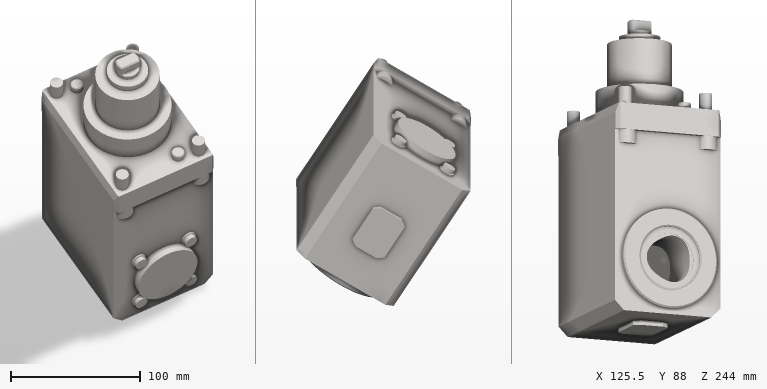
import cadquery as cq
import math

BODY_HALF_X = 56.0
DEPTH = 88.0
BODY_BOTTOM_CHAMFER = 7.5

PLATE_HALF_X = 60.0
PLATE_BOTTOM = 141.8
PLATE_TOP = 162.5
PLATE_CORNER_CHAMFER = 3.2
PLATE_BEVEL_HEIGHT = 7.5
PLATE_BEVEL_WIDTH = 2.2

SPINDLE_STEPS = [(67.8, 184.5), (49.8, 222.0), (32.0, 227.7), (18.5, 231.5)]
TONGUE_WIDTH = 10.0
TONGUE_DIAMETER = SPINDLE_STEPS[-1][0]
TONGUE_TOP = 240.3
TONGUE_ROOT_RADIUS = 1.5
TONGUE_EDGE_CHAMFER = 1.0

SCREW_X = 51.5
SCREW_Y = 33.7
SCREW_DIAMETER = 10.0
SCREW_TOP = 176.2
SCREW_HEAD_DIAMETER = 17.0
SCREW_HEAD_BOTTOM = 131.3
DOWEL_X = 48.0
DOWEL_Y = 17.5
DOWEL_DIAMETER = 10.0
DOWEL_TOP = 168.4
DOWEL_CHAMFER = 0.7

TOOL_AXIS_Z = 42.7
SOCKET_NECK_DIAMETER = 70.0
FLANGE_DIAMETER = 78.0
FLANGE_FACE_X = -62.2
FLANGE_THICKNESS = 4.0
FLANGE_CHAMFER = 1.2
RECESS_DIAMETER = 49.8
RECESS_DEPTH = 2.0
RECESS_CHAMFER = 1.2
SEAT_DIAMETER = 39.3
SEAT_DEPTH = 0.5
LOBE_MEAN_RADIUS = 17.93
LOBE_HEIGHT = 1.1
LOBE_POINTS = 24
SOCKET_DEPTH = 36.5
SOCKET_TAPER = 1.0

REAR_BOSS_DIAMETER = 52.0
REAR_BOSS_LENGTH = 7.3
REAR_SCREW_Y = 22.0
REAR_SCREW_Z = 24.5
REAR_WASHER_DIAMETER = 12.0
REAR_WASHER_THICKNESS = 1.5
REAR_HEAD_DIAMETER = 10.0
REAR_HEAD_TOP = 5.1

PAD_CENTER_X = -7.0
PAD_LENGTH = 37.0
PAD_WIDTH = 28.8
PAD_DIAMETER = 41.2
PAD_HEIGHT = 3.7


def upright_cylinder(x, y, diameter, bottom, top):
    return cq.Workplane("XY", origin=(x, y, bottom)).circle(diameter / 2).extrude(top - bottom)


def tool_cylinder(diameter, start_x, length, y=0, z=0):
    """Cylinder growing toward +X, placed relative to the tool axis."""
    plane = cq.Workplane("YZ", origin=(start_x, y, TOOL_AXIS_Z + z))
    return plane.circle(diameter / 2).extrude(length)


def make_body():
    body = cq.Workplane("XY").box(2 * BODY_HALF_X, DEPTH, PLATE_TOP, centered=(True, True, False))
    body = body.intersect(make_plate(0))
    return body.edges("|X and <Z").chamfer(BODY_BOTTOM_CHAMFER)


def make_plate(bottom):
    """Corner-cut block whose two long top edges are bevelled."""
    half_y = DEPTH / 2
    bevel_start = PLATE_TOP - PLATE_BEVEL_HEIGHT
    profile = [
        (-half_y, bottom),
        (half_y, bottom),
        (half_y, bevel_start),
        (half_y - PLATE_BEVEL_WIDTH, PLATE_TOP),
        (PLATE_BEVEL_WIDTH - half_y, PLATE_TOP),
        (-half_y, bevel_start),
    ]
    block = cq.Workplane("YZ").polyline(profile).close().extrude(PLATE_HALF_X, both=True)
    outline = cq.Workplane("XY").workplane(offset=bottom).rect(2 * PLATE_HALF_X, DEPTH)
    outline = outline.extrude(PLATE_TOP - bottom).edges("|Z").chamfer(PLATE_CORNER_CHAMFER)
    return block.intersect(outline)


def make_spindle():
    spindle = cq.Workplane("XY")
    bottom = PLATE_TOP
    for diameter, top in SPINDLE_STEPS:
        spindle = spindle.union(upright_cylinder(0, 0, diameter, bottom, top))
        bottom = top
    return spindle.union(make_tongue(bottom))


def make_tongue(bottom):
    """Flat drive tongue with rounded ends, flared at its root."""
    half = TONGUE_WIDTH / 2
    root = TONGUE_ROOT_RADIUS
    arc_offset = root * (1 - math.sqrt(0.5))
    section = (
        cq.Workplane("XZ")
        .moveTo(-half - root, bottom)
        .lineTo(half + root, bottom)
        .threePointArc((half + arc_offset, bottom + arc_offset), (half, bottom + root))
        .lineTo(half, TONGUE_TOP)
        .lineTo(-half, TONGUE_TOP)
        .lineTo(-half, bottom + root)
        .threePointArc((-half - arc_offset, bottom + arc_offset), (-half - root, bottom))
        .close()
        .extrude(TONGUE_DIAMETER, both=True)
    )
    tongue = section.intersect(upright_cylinder(0, 0, TONGUE_DIAMETER, bottom, TONGUE_TOP))
    return tongue.faces(">Z").edges().chamfer(TONGUE_EDGE_CHAMFER)


def make_plate_fasteners():
    parts = cq.Workplane("XY")
    for x in (-SCREW_X, SCREW_X):
        for y in (-SCREW_Y, SCREW_Y):
            parts = parts.union(upright_cylinder(x, y, SCREW_DIAMETER, PLATE_BOTTOM, SCREW_TOP))
            head = upright_cylinder(x, y, SCREW_HEAD_DIAMETER, SCREW_HEAD_BOTTOM, PLATE_BOTTOM)
            parts = parts.union(head)
    for side in (-1, 1):
        dowel = upright_cylinder(side * DOWEL_X, side * DOWEL_Y, DOWEL_DIAMETER, PLATE_BOTTOM, DOWEL_TOP)
        parts = parts.union(dowel.faces(">Z").chamfer(DOWEL_CHAMFER))
    return parts


def make_socket_flange():
    flange = tool_cylinder(FLANGE_DIAMETER, FLANGE_FACE_X, FLANGE_THICKNESS)
    flange = flange.faces("<X").chamfer(FLANGE_CHAMFER)
    neck_start = FLANGE_FACE_X + FLANGE_THICKNESS
    neck = tool_cylinder(SOCKET_NECK_DIAMETER, neck_start, -BODY_HALF_X - neck_start)
    return flange.union(neck)


def lobed_outline(mean_radius):
    """Points of a three-lobed curve with one lobe toward +Y."""
    points = []
    for i in range(LOBE_POINTS):
        angle = 2 * math.pi * i / LOBE_POINTS
        radius = mean_radius + LOBE_HEIGHT * math.cos(3 * angle)
        points.append((radius * math.cos(angle), radius * math.sin(angle)))
    return points


def make_socket_cavity():
    """Chamfered recess, shallow round seat and tapered three-lobed bore."""
    seat_x = FLANGE_FACE_X + RECESS_DEPTH
    bore_x = seat_x + SEAT_DEPTH
    recess = tool_cylinder(RECESS_DIAMETER, FLANGE_FACE_X, RECESS_DEPTH)
    mouth = (
        cq.Workplane("YZ", origin=(FLANGE_FACE_X, 0, TOOL_AXIS_Z))
        .circle(RECESS_DIAMETER / 2 + RECESS_CHAMFER)
        .workplane(offset=RECESS_CHAMFER)
        .circle(RECESS_DIAMETER / 2)
        .loft()
    )
    seat = tool_cylinder(SEAT_DIAMETER, seat_x, SEAT_DEPTH)
    bore = (
        cq.Workplane("YZ", origin=(bore_x, 0, TOOL_AXIS_Z))
        .spline(lobed_outline(LOBE_MEAN_RADIUS), periodic=True)
        .close()
        .workplane(offset=SOCKET_DEPTH)
        .spline(lobed_outline(LOBE_MEAN_RADIUS - SOCKET_TAPER), periodic=True)
        .close()
        .loft(ruled=True)
    )
    return recess.union(mouth).union(seat).union(bore)


def make_rear_boss():
    boss = tool_cylinder(REAR_BOSS_DIAMETER, BODY_HALF_X, REAR_BOSS_LENGTH)
    for y in (-REAR_SCREW_Y, REAR_SCREW_Y):
        for z in (-REAR_SCREW_Z, REAR_SCREW_Z):
            washer = tool_cylinder(REAR_WASHER_DIAMETER, BODY_HALF_X, REAR_WASHER_THICKNESS, y, z)
            head = tool_cylinder(REAR_HEAD_DIAMETER, BODY_HALF_X, REAR_HEAD_TOP, y, z)
            boss = boss.union(washer).union(head)
    return boss


def make_pad():
    """Rectangle with its corners trimmed by a circle."""
    disc = upright_cylinder(PAD_CENTER_X, 0, PAD_DIAMETER, -PAD_HEIGHT, 0)
    block = cq.Workplane("XY", origin=(PAD_CENTER_X, 0, 0)).rect(PAD_LENGTH, PAD_WIDTH)
    return disc.intersect(block.extrude(-PAD_HEIGHT))


result = (
    make_body()
    .union(make_plate(PLATE_BOTTOM))
    .union(make_spindle())
    .union(make_plate_fasteners())
    .union(make_socket_flange())
    .union(make_rear_boss())
    .union(make_pad())
    .cut(make_socket_cavity())
)